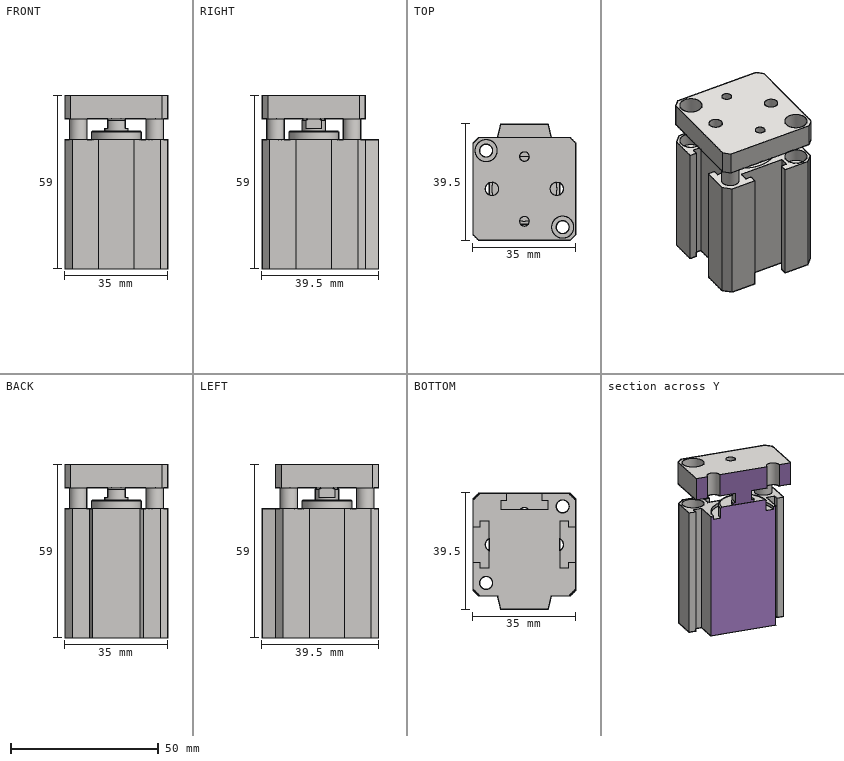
import cadquery as cq

WIDTH = 35.0
TOTAL_HEIGHT = 59.0
PLATE_THICKNESS = 8.0
GAP = 7.0
PLATE_CHAMFER = 2.0
HOUSING_CHAMFER = 2.55
PLATE_BOTTOM = TOTAL_HEIGHT - PLATE_THICKNESS
HOUSING_HEIGHT = PLATE_BOTTOM - GAP

CORNER_OFFSET = 13.0
MOUNTING_POINTS = [(-CORNER_OFFSET, CORNER_OFFSET), (CORNER_OFFSET, -CORNER_OFFSET)]
ROD_POINTS = [(-CORNER_OFFSET, -CORNER_OFFSET), (CORNER_OFFSET, CORNER_OFFSET)]
SCREW_HEAD_DIAMETER = 7.5
SCREW_HOLE_DIAMETER = 4.3
COUNTERBORE_DEPTH = 4.5
GUIDE_ROD_DIAMETER = 6.0

SLOT_OPENING = 12.0
SLOT_UNDERCUT = 2.0
SLOT_LIP = 2.5
SLOT_DEPTH = 5.5

RAIL_HEIGHT = 4.5
RAIL_BASE_WIDTH = 18.3
RAIL_TOP_WIDTH = 16.15

RECESS_DIAMETER = 22.0
RECESS_DEPTH = 1.0
COLLAR_DIAMETER = 17.0
COLLAR_HEIGHT = 3.0
EDGE_CHAMFER = 0.5
COLLAR_TOP = HOUSING_HEIGHT + COLLAR_HEIGHT

PISTON_ROD_DIAMETER = 8.0
FLATS_WIDTH = 6.0
FLATS_CLEARANCE = 0.8
FLATS_BOTTOM = COLLAR_TOP + FLATS_CLEARANCE

PLATE_HOLE_RADIUS = 11.0
LARGE_PLATE_HOLE = 4.5
SMALL_PLATE_HOLE = 3.25


def chamfered_block(height, chamfer):
    """Square block with chamfered vertical edges, standing on the base plane."""
    block = cq.Workplane("XY").rect(WIDTH, WIDTH).extrude(height)
    return block.edges("|Z").chamfer(chamfer)


def cylinder(diameter, bottom, top, points=((0, 0),)):
    """Upright cylinders between two heights at the given centres."""
    plane = cq.Workplane("XY").workplane(offset=bottom)
    return plane.pushPoints(points).circle(diameter / 2).extrude(top - bottom)


def t_slot_cutter():
    """Full-height T-slot in the -Y side."""
    face = -WIDTH / 2
    half_opening = SLOT_OPENING / 2
    half_inside = half_opening + SLOT_UNDERCUT
    outline = [
        (-half_opening, face),
        (-half_opening, face + SLOT_LIP),
        (-half_inside, face + SLOT_LIP),
        (-half_inside, face + SLOT_DEPTH),
        (half_inside, face + SLOT_DEPTH),
        (half_inside, face + SLOT_LIP),
        (half_opening, face + SLOT_LIP),
        (half_opening, face),
    ]
    return cq.Workplane("XY").polyline(outline).close().extrude(HOUSING_HEIGHT)


def rail():
    """Full-height tapered rail on the +Y side."""
    face = WIDTH / 2
    outline = [
        (-RAIL_BASE_WIDTH / 2, face),
        (RAIL_BASE_WIDTH / 2, face),
        (RAIL_TOP_WIDTH / 2, face + RAIL_HEIGHT),
        (-RAIL_TOP_WIDTH / 2, face + RAIL_HEIGHT),
    ]
    return cq.Workplane("XY").polyline(outline).close().extrude(HOUSING_HEIGHT)


def make_housing():
    """Profiled housing with its rail, mounting holes and bearing collar."""
    body = chamfered_block(HOUSING_HEIGHT, HOUSING_CHAMFER).union(rail())

    for angle in (0, 90, -90):
        body = body.cut(t_slot_cutter().rotate((0, 0, 0), (0, 0, 1), angle))

    counterbore_floor = HOUSING_HEIGHT - COUNTERBORE_DEPTH
    body = body.cut(cylinder(SCREW_HOLE_DIAMETER, 0, HOUSING_HEIGHT, MOUNTING_POINTS))
    body = body.cut(cylinder(SCREW_HEAD_DIAMETER, counterbore_floor, HOUSING_HEIGHT, MOUNTING_POINTS))

    recess_floor = HOUSING_HEIGHT - RECESS_DEPTH
    collar = cylinder(COLLAR_DIAMETER, recess_floor, COLLAR_TOP)
    collar = collar.faces(">Z").edges().chamfer(EDGE_CHAMFER)
    body = body.cut(cylinder(RECESS_DIAMETER, recess_floor, HOUSING_HEIGHT))
    return body.union(collar)


def make_piston_rod():
    """Piston rod between collar and plate, chamfered at the top, with flats facing -X and +X."""
    rod = cylinder(PISTON_ROD_DIAMETER, COLLAR_TOP, PLATE_BOTTOM)
    rod = rod.faces(">Z").edges().chamfer(EDGE_CHAMFER)
    round_part = cylinder(PISTON_ROD_DIAMETER, COLLAR_TOP, FLATS_BOTTOM)
    flats = (
        cq.Workplane("XY")
        .workplane(offset=COLLAR_TOP)
        .rect(FLATS_WIDTH, PISTON_ROD_DIAMETER)
        .extrude(PLATE_BOTTOM - COLLAR_TOP)
    )
    return rod.intersect(flats.union(round_part))


def make_moving_plate():
    """Tooling plate in one piece with its two guide rods and the piston rod."""
    plate = chamfered_block(PLATE_THICKNESS, PLATE_CHAMFER).translate((0, 0, PLATE_BOTTOM))

    x_axis_points = [(-PLATE_HOLE_RADIUS, 0), (PLATE_HOLE_RADIUS, 0)]
    y_axis_points = [(0, -PLATE_HOLE_RADIUS), (0, PLATE_HOLE_RADIUS)]
    for diameter, points in (
        (SCREW_HEAD_DIAMETER, MOUNTING_POINTS),
        (LARGE_PLATE_HOLE, x_axis_points),
        (SMALL_PLATE_HOLE, y_axis_points),
    ):
        plate = plate.cut(cylinder(diameter, PLATE_BOTTOM, TOTAL_HEIGHT, points))

    guide_rods = cylinder(GUIDE_ROD_DIAMETER, HOUSING_HEIGHT, PLATE_BOTTOM, ROD_POINTS)
    return plate.union(guide_rods).union(make_piston_rod())


housing = make_housing()
moving_plate = make_moving_plate()

result = cq.Compound.makeCompound([housing.solids().val(), moving_plate.solids().val()])